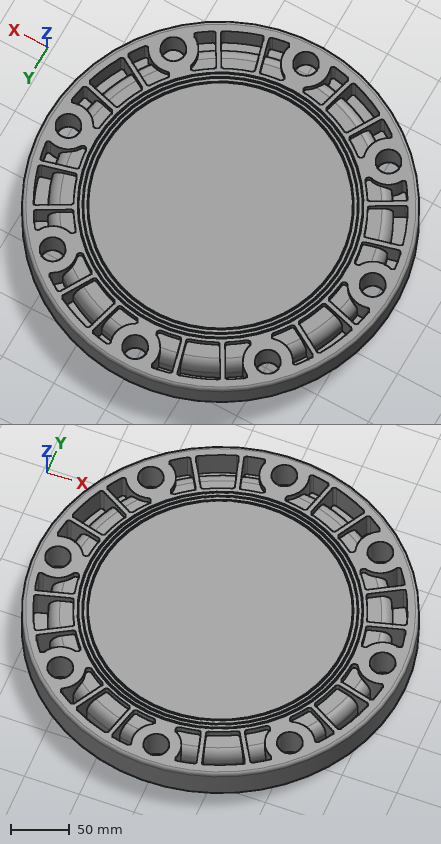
import cadquery as cq
import math

disc_diameter = 336.8
thickness = 30.3
edge_round = 3.0

hole_count = 8
hole_diameter = 22.0
bolt_circle_diameter = 295.7
boss_diameter = 42.5
hole_pitch = 360.0 / hole_count

pocket_inner_diameter = 249.2
pocket_outer_diameter = 317.3
pocket_floor = 3.5
pocket_corner = 2.5
pocket_tip_round = 3.0
rib_width = 4.5
rib_angle = hole_pitch / 3

shoulder_depth = 6.0
shoulder_diameter = 292.7
shoulder_round = 9.8

groove_inner_diameters = (224.0, 232.5, 240.5)
groove_width = 1.0
groove_depth = 1.0


def cylinder(diameter, bottom, top):
    return cq.Workplane("XY").workplane(offset=bottom).circle(diameter / 2).extrude(top - bottom)


def ring(inner_diameter, outer_diameter, bottom, top):
    return cylinder(outer_diameter, bottom, top).cut(cylinder(inner_diameter, bottom, top))


def bolt_circle(diameter, bottom, top):
    return (
        cq.Workplane("XY")
        .workplane(offset=bottom)
        .polarArray(bolt_circle_diameter / 2, 0, 360, hole_count)
        .circle(diameter / 2)
        .extrude(top - bottom)
    )


def ribs():
    """Radial ribs, two between each pair of neighbouring bolt holes."""
    rib = (
        cq.Workplane("XY")
        .workplane(offset=pocket_floor)
        .rect(disc_diameter / 2, rib_width)
        .extrude(thickness - pocket_floor)
        .translate((disc_diameter / 2, 0, 0))
    )
    angles = [
        hole * hole_pitch + step * rib_angle
        for hole in range(hole_count)
        for step in (1, 2)
    ]
    return [rib.rotate((0, 0, 0), (0, 0, 1), angle) for angle in angles]


def boss_webs():
    """Webs joining the bosses to the pocket inner wall, hollowed by the rounded pocket tips."""
    bolt_radius = bolt_circle_diameter / 2
    to_axis = pocket_inner_diameter / 2 + pocket_tip_round
    to_bolt = boss_diameter / 2 + pocket_tip_round
    tip_x = (to_axis**2 - to_bolt**2 + bolt_radius**2) / (2 * bolt_radius)
    tip_y = math.sqrt(to_axis**2 - tip_x**2)

    plane = cq.Workplane("XY").workplane(offset=pocket_floor)
    height = thickness - pocket_floor
    tip_centers = [(tip_x, -tip_y), (tip_x, tip_y)]
    outline = [(0, 0), tip_centers[0], (bolt_radius, 0), tip_centers[1]]
    web = plane.polyline(outline).close().extrude(height)
    web = web.cut(plane.pushPoints(tip_centers).circle(pocket_tip_round).extrude(height))
    return [web.rotate((0, 0, 0), (0, 0, 1), hole * hole_pitch) for hole in range(hole_count)]


def pockets():
    """Space between ribs, bosses and webs, with the shoulder left standing in it."""
    space = ring(pocket_inner_diameter, pocket_outer_diameter, pocket_floor, thickness)
    space = space.cut(bolt_circle(boss_diameter, pocket_floor, thickness))
    for rib in ribs():
        space = space.cut(rib)
    space = space.edges("|Z").fillet(pocket_corner)
    for web in boss_webs():
        space = space.cut(web)
    shoulder = cylinder(shoulder_diameter, pocket_floor, thickness - shoulder_depth)
    shoulder = shoulder.faces(">Z").edges().fillet(shoulder_round)
    return space.cut(shoulder)


def sealing_grooves():
    """Narrow concentric grooves around the centre of the top face."""
    return [
        ring(inner, inner + 2 * groove_width, thickness - groove_depth, thickness)
        for inner in groove_inner_diameters
    ]


result = cylinder(disc_diameter, 0, thickness).edges().fillet(edge_round)
result = result.cut(pockets())
result = result.cut(bolt_circle(hole_diameter, 0, thickness))
for groove in sealing_grooves():
    result = result.cut(groove)